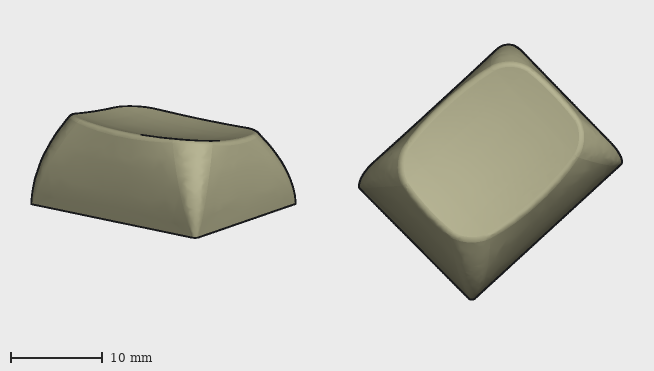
import math

import cadquery as cq

BASE_X = 22.96
BASE_Y = 18.13
BASE_CORNER = 0.5

MIDDLE_INSET = 0.95
MIDDLE_CORNER = 2.3

TOP_INSET = 4.1
TOP_CORNER = 4.8
SIDE_BOW = 1.4
END_BOW = 1.7
TOP_HEIGHT = 10.0
TILT = -7.0

DISH_FLOOR = 8.08
DISH_RADIUS_X = 60.0
DISH_RADIUS_Y = 35.0
RIM_FILLET = 0.65


def rounded_rectangle(size_x, size_y, corner):
    return cq.Sketch().rect(size_x, size_y).vertices().fillet(corner)


def bowed_rectangle(size_x, size_y, corner):
    """Outline of four outward arcs joined by rounded corners."""
    half_x = size_x / 2
    half_y = size_y / 2
    corner_x = half_x - SIDE_BOW
    corner_y = half_y - END_BOW
    return (
        cq.Sketch()
        .arc((-corner_x, -corner_y), (-half_x, 0), (-corner_x, corner_y))
        .arc((-corner_x, corner_y), (0, half_y), (corner_x, corner_y))
        .arc((corner_x, corner_y), (half_x, 0), (corner_x, -corner_y))
        .arc((corner_x, -corner_y), (0, -half_y), (-corner_x, -corner_y))
        .assemble()
        .vertices()
        .fillet(corner)
    )


def placement(height, tilt):
    return cq.Location(cq.Vector(0, 0, height), cq.Vector(1, 0, 0), tilt)


def make_body():
    """Loft from the flat base through a middle section to the tilted top section."""
    base = rounded_rectangle(BASE_X, BASE_Y, BASE_CORNER)
    middle = rounded_rectangle(BASE_X - MIDDLE_INSET, BASE_Y - MIDDLE_INSET, MIDDLE_CORNER)
    top = bowed_rectangle(BASE_X - TOP_INSET, BASE_Y - TOP_INSET, TOP_CORNER)
    return (
        cq.Workplane("XY")
        .placeSketch(
            base,
            middle.moved(placement(TOP_HEIGHT / 2, TILT / 2)),
            top.moved(placement(TOP_HEIGHT, TILT)),
        )
        .loft()
    )


def make_dish_cutter():
    """Circular segment swung about an axis parallel to Y, tilted with the top."""
    half_width = BASE_Y
    rise = DISH_RADIUS_Y - math.sqrt(DISH_RADIUS_Y**2 - half_width**2)
    swing = 2 * math.degrees(math.asin(BASE_X / DISH_RADIUS_X))
    cutter = (
        cq.Workplane("YZ")
        .moveTo(-half_width, rise)
        .threePointArc((0, 0), (half_width, rise))
        .close()
        .revolve(swing, (0, DISH_RADIUS_X), (1, DISH_RADIUS_X))
        .rotate((0, 0, DISH_RADIUS_X), (0, 1, DISH_RADIUS_X), -swing / 2)
    )
    return cutter.rotate((0, 0, 0), (1, 0, 0), TILT).translate((0, 0, DISH_FLOOR))


def soften_rim(body):
    """Round the edge where the dish meets the walls."""
    dish_face = body.faces(cq.selectors.NearestToPointSelector((0, 0, DISH_FLOOR)))
    rim_edges = dish_face.edges().vals()
    return body.newObject(rim_edges).fillet(RIM_FILLET)


dished_body = make_body().cut(make_dish_cutter())
result = soften_rim(dished_body)